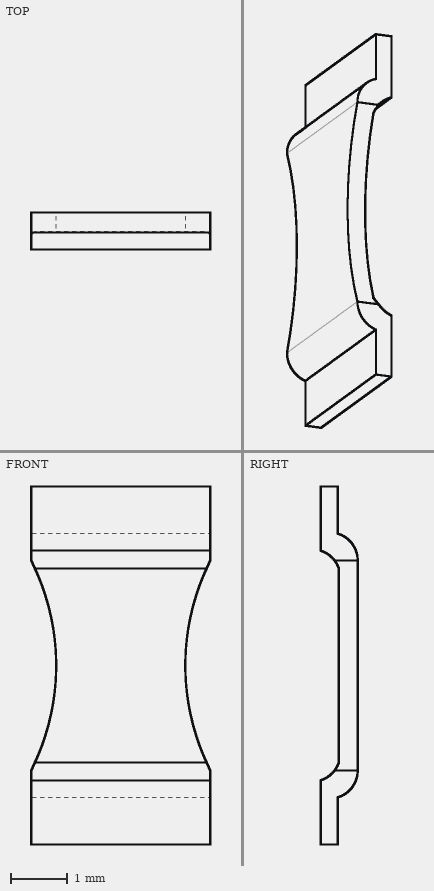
import cadquery as cq
import math

width = 3.175
height = 6.35
depth = 0.66

foot_thickness = 0.305
web_thickness = 0.34
foot_front_height = 1.14
foot_back_height = 0.836

bend_radius = 0.5
inner_bend_height = 0.313

waist_width = 2.286
scallop_length = 3.72

half_height = height / 2
web_front = depth - web_thickness


def arc_middle(start, end, radius):
    """Middle of the shorter arc of the given radius, bulging to the left going from start to end."""
    dx = end[0] - start[0]
    dy = end[1] - start[1]
    chord = math.hypot(dx, dy)
    sagitta = radius - math.sqrt(radius**2 - (chord / 2) ** 2)
    middle_x = (start[0] + end[0]) / 2 - dy / chord * sagitta
    middle_y = (start[1] + end[1]) / 2 + dx / chord * sagitta
    return (middle_x, middle_y)


def make_strip():
    """Upper half of the bent strip, extruded across the width and mirrored to the lower half."""
    foot_front_end = (0, half_height - foot_front_height)
    foot_back_end = (foot_thickness, half_height - foot_back_height)
    web_front_end = (web_front, foot_front_end[1] - inner_bend_height)

    outer_bend_center_y = depth - bend_radius
    outer_bend_height = math.sqrt(bend_radius**2 - (foot_thickness - outer_bend_center_y) ** 2)
    web_back_end = (depth, foot_back_end[1] - outer_bend_height)

    upper_half = (
        cq.Workplane("YZ")
        .moveTo(0, half_height)
        .lineTo(foot_thickness, half_height)
        .lineTo(*foot_back_end)
        .threePointArc(arc_middle(foot_back_end, web_back_end, bend_radius), web_back_end)
        .lineTo(depth, 0)
        .lineTo(web_front, 0)
        .lineTo(*web_front_end)
        .threePointArc(arc_middle(foot_front_end, web_front_end, bend_radius), foot_front_end)
        .close()
        .extrude(width / 2, both=True)
    )
    return upper_half.union(upper_half.mirror("XY")).clean()


def make_scallop(side):
    """Shallow arc-shaped cutter for one long edge; side is -1 or +1."""
    edge = side * width / 2
    return (
        cq.Workplane("XZ")
        .moveTo(edge, -scallop_length / 2)
        .threePointArc((side * waist_width / 2, 0), (edge, scallop_length / 2))
        .close()
        .extrude(-depth)
    )


result = make_strip()
for side in (-1, 1):
    result = result.cut(make_scallop(side))